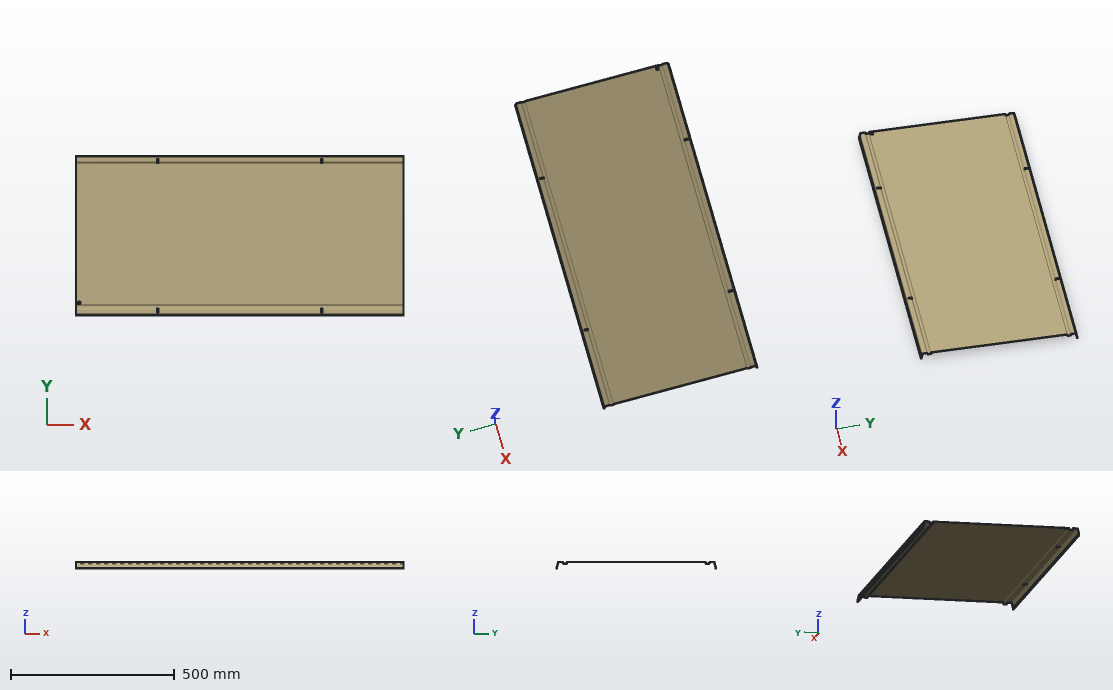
import math

import cadquery as cq

LENGTH = 1000.0
WIDTH = 486.33
HEIGHT = 20.74

THICKNESS = 0.75
FLANGE_BEND_INNER_RADIUS = 0.75
FLANGE_ANGLE = 14.0

HEM_RADIUS = THICKNESS
HEM_LENGTH = 2.0

GROOVE_OUTER_TOP = 18.0
GROOVE_OUTER_FLOOR = 22.9
GROOVE_INNER_FLOOR = 29.5
GROOVE_INNER_TOP = 32.4
GROOVE_DEPTH = 5.6
GROOVE_BEND_INNER_RADIUS = 0.3

SLOT_POSITIONS = (-LENGTH / 4, LENGTH / 4)
SLOT_WIDTH = 2.0
SLOT_OUTER = 9.2
SLOT_INNER = 20.0

HOLE_DIAMETER = 6.0
HOLE_FROM_END = 10.0
HOLE_FROM_EDGE = 38.5

HALF_WIDTH = WIDTH / 2


def hem_center():
    """Center (y, z) of the +Y hem, whose round edge sets the width and the height."""
    return HALF_WIDTH - HEM_RADIUS, -HEIGHT + HEM_RADIUS


def upper_face_points():
    """Corners (y, z) of the upper face, from the -Y flange end to the +Y one."""
    lean = math.radians(FLANGE_ANGLE)
    end_y, end_z = hem_center()
    end_y += HEM_RADIUS * math.cos(lean)
    end_z += HEM_RADIUS * math.sin(lean)
    bend_y = end_y + end_z * math.tan(lean)
    right_half = [
        (HALF_WIDTH - GROOVE_INNER_TOP, 0),
        (HALF_WIDTH - GROOVE_INNER_FLOOR, -GROOVE_DEPTH),
        (HALF_WIDTH - GROOVE_OUTER_FLOOR, -GROOVE_DEPTH),
        (HALF_WIDTH - GROOVE_OUTER_TOP, 0),
        (bend_y, 0),
        (end_y, end_z),
    ]
    left_half = [(-y, z) for y, z in reversed(right_half)]
    return left_half + right_half


def direction(start, end):
    """Angle of the segment from start to end."""
    return math.atan2(end[1] - start[1], end[0] - start[0])


def lower_face_points(upper):
    """Corners of the lower face: the upper ones moved in by the thickness, mitred."""
    headings = [direction(a, b) for a, b in zip(upper, upper[1:])]
    arriving = headings[:1] + headings
    leaving = headings + headings[-1:]
    lower = []
    for (y, z), before, after in zip(upper, arriving, leaving):
        bisector = (before + after) / 2
        miter = THICKNESS / math.cos((after - before) / 2)
        lower.append((y + miter * math.sin(bisector), z - miter * math.cos(bisector)))
    return lower


def make_sheet():
    """Bent sheet profile run along X, with every bend rounded."""
    upper = upper_face_points()
    lower = lower_face_points(upper)
    outline = cq.Workplane("YZ").polyline(upper + lower[::-1]).close()
    sheet = outline.extrude(LENGTH / 2, both=True)

    headings = [direction(a, b) for a, b in zip(upper, upper[1:])]
    for i, (before, after) in enumerate(zip(headings, headings[1:]), start=1):
        folds_down = after < before
        is_flange_bend = i in (1, len(upper) - 2)
        inner_radius = FLANGE_BEND_INNER_RADIUS if is_flange_bend else GROOVE_BEND_INNER_RADIUS
        outer_radius = inner_radius + THICKNESS
        upper_radius = outer_radius if folds_down else inner_radius
        lower_radius = inner_radius if folds_down else outer_radius
        for (y, z), radius in ((upper[i], upper_radius), (lower[i], lower_radius)):
            bend_edge = cq.selectors.NearestToPointSelector((0, y, z))
            sheet = sheet.edges("|X").edges(bend_edge).fillet(radius)
    return sheet


def make_hem():
    """Round fold and return leg of the +Y hem, lying against the flange's inner face."""
    lean = math.radians(FLANGE_ANGLE)
    center_y, center_z = hem_center()

    def hem_point(outward, up):
        """Point given across and along the flange, from the hem center."""
        return (
            center_y + outward * math.cos(lean) - up * math.sin(lean),
            center_z + outward * math.sin(lean) + up * math.cos(lean),
        )

    outline = (
        cq.Workplane("YZ")
        .moveTo(*hem_point(HEM_RADIUS, 0))
        .threePointArc(hem_point(0, -HEM_RADIUS), hem_point(-HEM_RADIUS, 0))
        .lineTo(*hem_point(-HEM_RADIUS, HEM_LENGTH))
        .lineTo(*hem_point(0, HEM_LENGTH))
        .lineTo(*hem_point(0, 0))
        .close()
    )
    return outline.extrude(LENGTH / 2, both=True)


def make_slots():
    """Cutters for the slots along both long edges."""
    slot_length = SLOT_INNER - SLOT_OUTER
    slot_center = HALF_WIDTH - (SLOT_INNER + SLOT_OUTER) / 2
    centers = [(x, side * slot_center) for x in SLOT_POSITIONS for side in (-1, 1)]
    slots = cq.Workplane("XY").pushPoints(centers).rect(SLOT_WIDTH, slot_length)
    return slots.extrude(-HEIGHT)


def make_corner_hole():
    """Cutter for the round hole in the -X, -Y corner of the panel."""
    hole = cq.Workplane("XY").center(HOLE_FROM_END - LENGTH / 2, HOLE_FROM_EDGE - HALF_WIDTH)
    return hole.circle(HOLE_DIAMETER / 2).extrude(-HEIGHT)


hem = make_hem()
panel = make_sheet().union(hem).union(hem.mirror("XZ"))
result = panel.cut(make_slots()).cut(make_corner_hole())